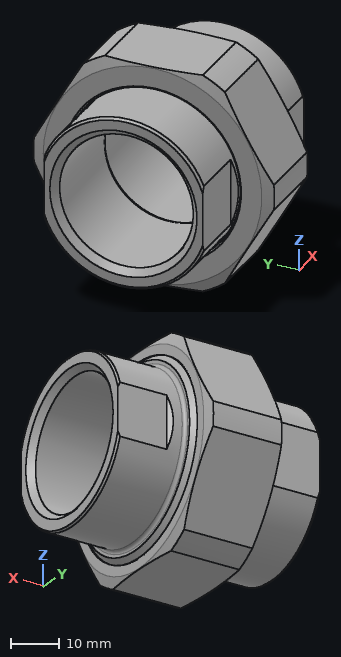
import cadquery as cq
import math


total_length = 50.0
inlet_bore_radius = 30.3 / 2
outlet_bore_radius = 30.7 / 2
bore_mouth_radius = 33.35 / 2
bore_chamfer_length = 1.55
tube_radius = 39.0 / 2
joint_radius = 44.85 / 2

nut_start = 14.55
nut_end = 32.95
nut_across_flats = 50.0
nut_turned_radius = 27.35
nut_face_radius = 24.75
nut_chamfer_length = 0.8
nut_lip_length = 3.3
nut_mouth_radius = 39.5 / 2
nut_mouth_chamfer = 0.45

flange_start = nut_start + nut_lip_length
flange_length = 6.55
joint_face = flange_start + flange_length
inlet_end_chamfer = 0.55
inlet_flat_offset = 18.0
inlet_flat_length = 14.05
inlet_flat_run_out = 0.55

collar_end = 34.0
collar_chamfer = 1.3
collar_fillet = 0.8
outlet_end_chamfer_length = 0.55
outlet_end_chamfer_depth = 0.35
outlet_flat_offset = 18.5
outlet_flat_start = 38.0
outlet_flat_run_out = tube_radius - outlet_flat_offset


def revolve_about_x(profile):
    """Revolve a closed (X, radius) outline a full turn about the X axis."""
    return profile.close().revolve(360, (0, 0, 0), (1, 0, 0))


def cut_wrench_flats(body, end_x, flat_end_x, slope_end_x, flat_offset):
    """Cut two flats, facing +Y and -Y, that slope out to the tube surface at slope_end_x."""
    for side in (1, -1):
        flat_cutter = (
            cq.Workplane("XY")
            .polyline([
                (end_x, side * flat_offset),
                (flat_end_x, side * flat_offset),
                (slope_end_x, side * tube_radius),
                (end_x, side * tube_radius),
            ])
            .close()
            .extrude(tube_radius, both=True)
        )
        body = body.cut(flat_cutter)
    return body


def make_inlet_tailpiece():
    body = revolve_about_x(cq.Workplane("XY").polyline([
        (0, bore_mouth_radius),
        (0, tube_radius - inlet_end_chamfer),
        (inlet_end_chamfer, tube_radius),
        (flange_start, tube_radius),
        (flange_start, joint_radius),
        (joint_face, joint_radius),
        (joint_face, inlet_bore_radius),
        (bore_chamfer_length, inlet_bore_radius),
    ]))
    slope_end = inlet_flat_length + inlet_flat_run_out
    return cut_wrench_flats(body, 0, inlet_flat_length, slope_end, inlet_flat_offset)


def make_outlet_tailpiece():
    fillet_center_x = collar_end + collar_fillet
    fillet_center_radius = tube_radius + collar_fillet
    fillet_reach = collar_fillet * math.sqrt(0.5)
    body = revolve_about_x(
        cq.Workplane("XY")
        .moveTo(joint_face, outlet_bore_radius)
        .lineTo(joint_face, joint_radius)
        .lineTo(collar_end - collar_chamfer, joint_radius)
        .lineTo(collar_end, joint_radius - collar_chamfer)
        .lineTo(collar_end, fillet_center_radius)
        .threePointArc(
            (fillet_center_x - fillet_reach, fillet_center_radius - fillet_reach),
            (fillet_center_x, tube_radius),
        )
        .lineTo(total_length - outlet_end_chamfer_length, tube_radius)
        .lineTo(total_length, tube_radius - outlet_end_chamfer_depth)
        .lineTo(total_length, bore_mouth_radius)
        .lineTo(total_length - bore_chamfer_length, outlet_bore_radius)
    )
    slope_end = outlet_flat_start - outlet_flat_run_out
    return cut_wrench_flats(body, total_length, outlet_flat_start, slope_end, outlet_flat_offset)


def make_union_nut():
    across_corners = nut_across_flats / math.cos(math.pi / 6)
    hexagon = (
        cq.Workplane("YZ", origin=(nut_start, 0, 0))
        .polygon(6, across_corners)
        .extrude(nut_end - nut_start)
    )
    turned_ring = revolve_about_x(cq.Workplane("XY").polyline([
        (nut_start, nut_mouth_radius + nut_mouth_chamfer),
        (nut_start, nut_face_radius),
        (nut_start + nut_chamfer_length, nut_turned_radius),
        (nut_end - nut_chamfer_length, nut_turned_radius),
        (nut_end, nut_face_radius),
        (nut_end, joint_radius),
        (flange_start, joint_radius),
        (flange_start, nut_mouth_radius),
        (nut_start + nut_mouth_chamfer, nut_mouth_radius),
    ]))
    return hexagon.intersect(turned_ring)


inlet_tailpiece = make_inlet_tailpiece()
outlet_tailpiece = make_outlet_tailpiece()
union_nut = make_union_nut()

result = cq.Compound.makeCompound([
    inlet_tailpiece.val(),
    outlet_tailpiece.val(),
    union_nut.val(),
])